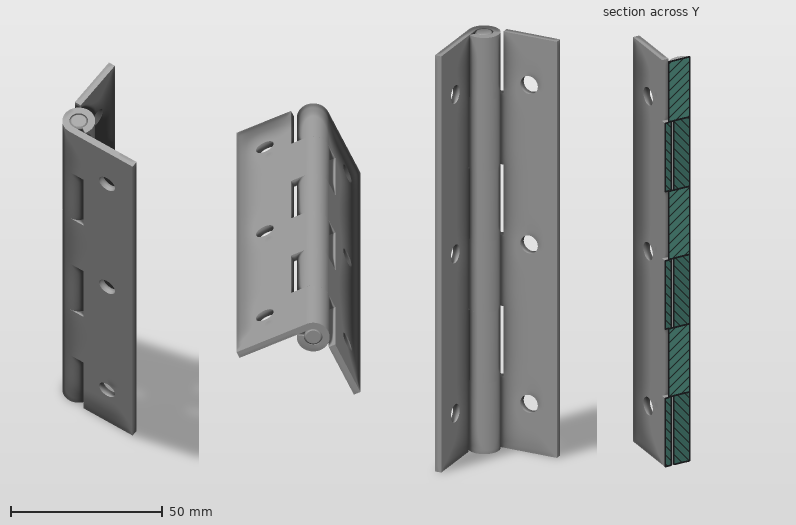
import cadquery as cq
import math

height = 149.2
leaf_width = 30.9
thickness = 2.4
pin_diameter = 6.1
pin_chamfer = 0.6
knuckle_length = 25.4
knuckle_count = 6
curl_end_angle = -33.0
notch_depth = 11.0
screw_hole_diameter = 6.4
screw_hole_edge_distance = 10.3
screw_hole_spacing = 57.2
screw_hole_count = 3

bore_radius = pin_diameter / 2
barrel_radius = bore_radius + thickness


def polar(radius, angle):
    """Point on a circle around the hinge axis."""
    a = math.radians(angle)
    return (barrel_radius + radius * math.cos(a), barrel_radius + radius * math.sin(a))


def knuckle_span(index):
    """Bottom and top of a knuckle, counted from the bottom."""
    bottom = index * knuckle_length
    top = height if index == knuckle_count - 1 else bottom + knuckle_length
    return bottom, top


def make_knuckle(bottom, top):
    """Strip that leaves the plate tangentially and rolls clockwise around the pin."""
    middle_angle = (curl_end_angle + 270) / 2
    return (
        cq.Workplane("XY", origin=(0, 0, bottom))
        .moveTo(notch_depth, 0)
        .lineTo(barrel_radius, 0)
        .threePointArc(polar(barrel_radius, middle_angle), polar(barrel_radius, curl_end_angle))
        .lineTo(*polar(bore_radius, curl_end_angle))
        .threePointArc(polar(bore_radius, middle_angle), (barrel_radius, thickness))
        .lineTo(notch_depth, thickness)
        .close()
        .extrude(top - bottom)
    )


def make_leaf(first_knuckle):
    """Leaf lying along +X, owning every second knuckle from first_knuckle upwards."""
    leaf = cq.Workplane("XY").box(
        leaf_width - notch_depth, thickness, height, centered=False
    ).translate((notch_depth, 0, 0))
    for index in range(first_knuckle, knuckle_count, 2):
        leaf = leaf.union(make_knuckle(*knuckle_span(index)))
    return leaf.cut(make_screw_holes())


def make_screw_holes():
    """Row of cylinders through a leaf, centred on its height."""
    return (
        cq.Workplane("XZ", origin=(leaf_width - screw_hole_edge_distance, 0, height / 2))
        .rarray(1.5, screw_hole_spacing, 1, screw_hole_count)
        .circle(screw_hole_diameter / 2)
        .extrude(-thickness)
    )


def make_pin():
    """Full-length pin with chamfered ends, filling the knuckle bores."""
    return (
        cq.Workplane("XY", origin=(barrel_radius, barrel_radius, 0))
        .circle(bore_radius)
        .extrude(height)
        .faces("<Z or >Z")
        .chamfer(pin_chamfer)
    )


front_leaf = make_leaf(first_knuckle=1)

side_leaf = make_leaf(first_knuckle=0).mirror("YZ").rotate((0, 0, 0), (0, 0, 1), -90)

pin = make_pin()

result = cq.Compound.makeCompound([front_leaf.val(), side_leaf.val(), pin.val()])